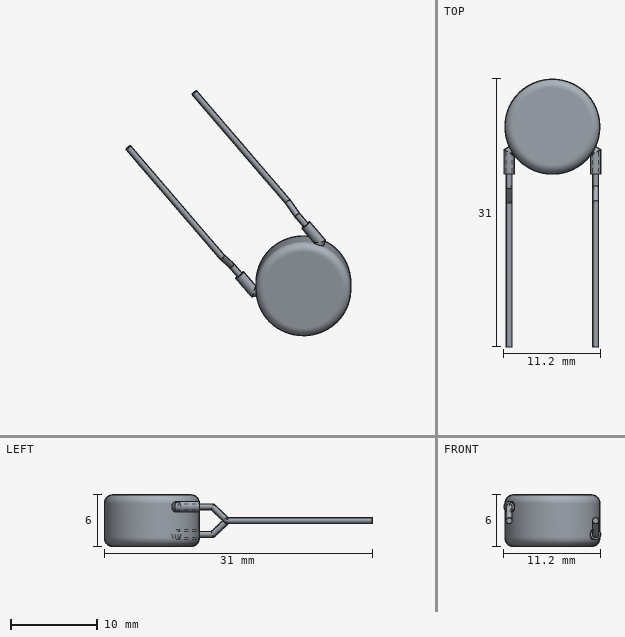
import cadquery as cq
import math

disc_diameter = 11.0
disc_thickness = 6.0
disc_edge_radius = 1.0
disc_radius = disc_diameter / 2

lead_spacing = 10.0
lead_diameter = 0.7
lead_exit_height = 1.6
lead_free_length = 20.0
lead_first_bend = 1.5
lead_slant_length = 1.7

sleeve_diameter = 1.2
sleeve_straight_length = 2.5
sleeve_turn = math.radians(60)
sleeve_root_length = 2.0

lead_x = -lead_spacing / 2
sleeve_end_y = -disc_radius
sleeve_bend_y = sleeve_end_y + sleeve_straight_length
first_bend_y = sleeve_end_y - lead_first_bend
second_bend_y = first_bend_y - lead_slant_length
lead_tip_y = sleeve_end_y - lead_free_length

side_turns = (0, 180)


def mitred_rod(diameter, points):
    """Round rod with mitred corners; its first stretch runs along Y."""
    path = cq.Workplane("XY").polyline([cq.Vector(*point) for point in points])
    start_plane = cq.Workplane("XZ", origin=points[0])
    return start_plane.circle(diameter / 2).sweep(path, transition="right")


def turned_to_side(left_rod, turn):
    """Copy of a left-hand rod, turned about the Y axis."""
    return left_rod.rotate((0, 0, 0), (0, 1, 0), turn)


def make_sleeve():
    """Left sleeve: straight along the lead, then slanting into the disc."""
    root_x = lead_x + sleeve_root_length * math.sin(sleeve_turn)
    root_y = sleeve_bend_y + sleeve_root_length * math.cos(sleeve_turn)
    return mitred_rod(sleeve_diameter, [
        (lead_x, sleeve_end_y, lead_exit_height),
        (lead_x, sleeve_bend_y, lead_exit_height),
        (root_x, root_y, lead_exit_height),
    ])


def make_lead():
    """Left lead: from the sleeve bend, down to mid height, then straight to the tip."""
    return mitred_rod(lead_diameter, [
        (lead_x, sleeve_bend_y, lead_exit_height),
        (lead_x, first_bend_y, lead_exit_height),
        (lead_x, second_bend_y, 0),
        (lead_x, lead_tip_y, 0),
    ])


def make_coating(leads):
    """Rounded disc with its two sleeves, bored to hold the leads."""
    coating = (
        cq.Workplane("XY", origin=(0, 0, -disc_thickness / 2))
        .circle(disc_radius)
        .extrude(disc_thickness)
        .faces("|Z").edges().fillet(disc_edge_radius)
    )
    for turn in side_turns:
        coating = coating.union(turned_to_side(make_sleeve(), turn))
    for lead in leads:
        coating = coating.cut(lead)
    return coating


leads = [turned_to_side(make_lead(), turn) for turn in side_turns]
coating = make_coating(leads)

result = cq.Compound.makeCompound([*coating.solids().vals(), *[lead.val() for lead in leads]])